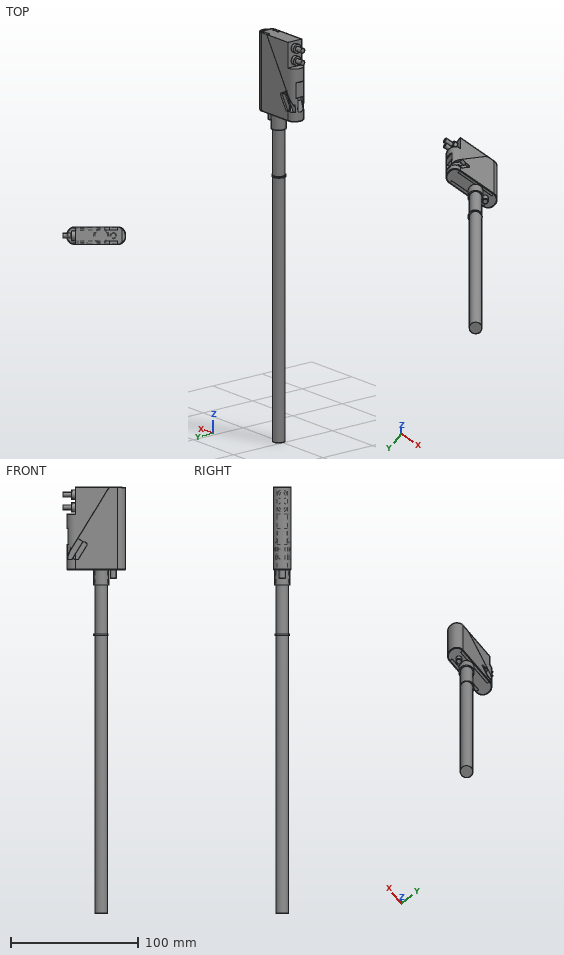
import cadquery as cq
import math

thickness = 14.0
half_thickness = thickness / 2
height = 65.0
flat_left = -20.3
end_tip = 19.2
end_radius = 6.5
flat_right = end_tip - end_radius
bulge_height = 43.8
bulge_depth = 6.75
bulge_tip = flat_left - bulge_depth
base_chamfer = 0.6
end_step_x = 16.2
end_step_depth = 0.4

cover_thickness = 2.7
cover_bottom = base_chamfer
joint_top_x = 6.3
joint_run_x = 24.75
joint_run_z = 40.3

joint_length = math.hypot(joint_run_x, joint_run_z)
joint_angle = math.degrees(math.atan2(joint_run_z, joint_run_x))
pocket_length = 24.0
pocket_width = 4.8
pocket_depth = 3.0
recess_length = 16.0
recess_width = 4.2
recess_corner = 1.8
recess_start = joint_length - 0.5
recess_depth = 1.5
pocket_bottom = 8.0

label_bottom = 19.7
label_top = 32.5
label_depth = 0.85
slot_front_y = -3.4
slot_back_y = 2.0
slot_depth = 3.0
slot_ramp_top = 16.5

overall_length_x = 49.42
plug_heights = (49.1, 59.1)
collar_diameter = 7.4
collar_length = 3.0
fibre_diameter = 4.0
fibre_tip = end_tip - overall_length_x

overall_height = 335.0
cable_diameter = 10.0
cable_end = height - overall_height
gland_diameter = 12.0
gland_length = 12.1
ring_diameter = 11.2
ring_x = -0.45
ring_top = -50.4
ring_thickness = 1.1
pin_x = 9.5
pin_diameter = 4.8
pin_length = 7.0
pin_chamfer = 0.5


def cylinder(x, diameter, bottom, top):
    """Upright cylinder centred on the middle plane."""
    return cq.Workplane("XY", origin=(x, 0, bottom)).circle(diameter / 2).extrude(top - bottom)


def make_housing_blank():
    outline = (
        cq.Workplane("XY")
        .rect(end_tip - bulge_tip, thickness)
        .extrude(height)
        .translate(((end_tip + bulge_tip) / 2, 0, 0))
        .edges("|Z")
        .fillet(end_radius)
        .faces("<Z")
        .chamfer(base_chamfer)
    )
    above_bulge = cq.Workplane("XY").box(
        bulge_depth, thickness, height - bulge_height, centered=(False, True, False)
    ).translate((bulge_tip, 0, bulge_height))
    end_step = cq.Workplane("XY").box(
        end_tip - end_step_x, thickness, end_step_depth, centered=(False, True, False)
    ).translate((end_step_x, 0, height - end_step_depth))
    return outline.cut(above_bulge).cut(end_step)


def make_bulge_cuts():
    label = cq.Workplane("XY").box(
        label_depth, thickness, label_top - label_bottom, centered=(False, True, False)
    ).translate((bulge_tip, 0, label_bottom))
    slot = (
        cq.Workplane("XZ", origin=(0, slot_back_y, 0))
        .moveTo(bulge_tip, label_bottom)
        .lineTo(bulge_tip + slot_depth, label_bottom)
        .lineTo(bulge_tip + slot_depth, slot_ramp_top)
        .lineTo(bulge_tip, pocket_bottom)
        .close()
        .extrude(slot_back_y - slot_front_y)
    )
    return label.union(slot)


def make_cover():
    """Cover plate on the -Y face."""
    joint_left_z = height - (joint_top_x - flat_left) * joint_run_z / joint_run_x
    return (
        cq.Workplane("XZ", origin=(0, cover_thickness - half_thickness, 0))
        .moveTo(joint_top_x, height)
        .lineTo(flat_right, height)
        .lineTo(flat_right, cover_bottom)
        .lineTo(flat_left, cover_bottom)
        .lineTo(flat_left, joint_left_z)
        .close()
        .extrude(cover_thickness)
    )


def make_latch_cut():
    """Pocket and oblong recess in the -Y face, laid out along the diagonal joint."""
    face = cq.Plane(origin=(joint_top_x, -half_thickness, height), xDir=(1, 0, 0), normal=(0, -1, 0))
    along = cq.Workplane(face.rotated((0, 0, joint_angle)))
    pocket = (
        along.center(-joint_length - pocket_length / 2, -pocket_width / 2)
        .rect(pocket_length, pocket_width)
        .extrude(-pocket_depth)
    )
    recess = (
        along.center(-recess_start - recess_length / 2, -pocket_width - recess_width / 2)
        .rect(recess_length, recess_width)
        .extrude(-recess_depth)
        .edges("|Y")
        .fillet(recess_corner)
    )
    above_bottom = cq.Workplane("XY").box(
        2 * pocket_length, thickness, height, centered=(True, True, False)
    ).translate((flat_left, -half_thickness, pocket_bottom))
    return pocket.union(recess).intersect(above_bottom)


def make_plug(z):
    def rod(diameter, start, end):
        plane = cq.Plane(origin=(start, 0, z), xDir=(0, 0, 1), normal=(1, 0, 0))
        return cq.Workplane(plane).circle(diameter / 2).extrude(end - start)

    collar = rod(collar_diameter, flat_left - collar_length, flat_left)
    fibre = rod(fibre_diameter, fibre_tip, flat_left)
    return collar.union(fibre)


front_latch = make_latch_cut()
front_cover = make_cover()
latch_cuts = front_latch.union(front_latch.mirror("XZ"))
cover_blanks = [front_cover, front_cover.mirror("XZ")]

housing = make_housing_blank().cut(make_bulge_cuts())
for blank in cover_blanks:
    housing = housing.cut(blank)
housing = housing.cut(latch_cuts)
covers = [blank.cut(latch_cuts) for blank in cover_blanks]

plugs = [make_plug(z) for z in plug_heights]
cable = cylinder(0, cable_diameter, cable_end, 0)
gland = cylinder(0, gland_diameter, -gland_length, 0).cut(cable)
ring = cylinder(ring_x, ring_diameter, ring_top - ring_thickness, ring_top).cut(cable)
pin = cylinder(pin_x, pin_diameter, -pin_length, 0).faces("<Z").chamfer(pin_chamfer)

bodies = [housing, *covers, *plugs, gland, cable, ring, pin]
result = cq.Compound.makeCompound([body.val() for body in bodies])